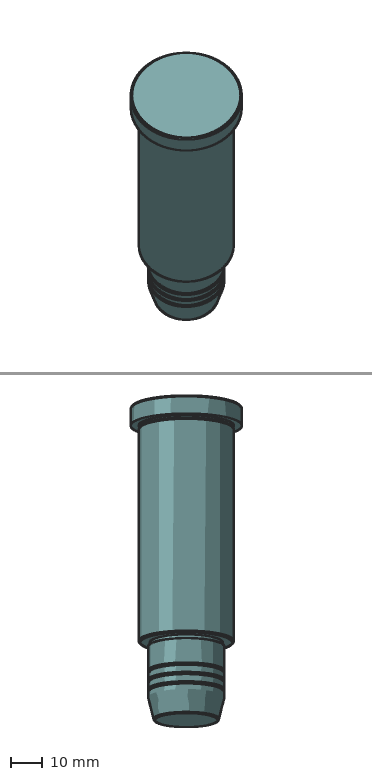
import cadquery as cq

total_length = 101.0
head_radius = 17.52
head_height = 6.0
head_chamfer = 0.5

shank_radius = 15.0
shank_bottom = 25.0
shank_chamfer = 0.5

guide_radius = 12.0
neck_radius = 11.5
neck_height = 1.2

tolerance = 1.01e-06

guide_groove_width = 0.8
head_groove_width = 1.2
groove_depth = 0.5
lowest_groove_height = 9.5
groove_pitch = 3.0
guide_groove_count = 3

taper_top = 7.3
tip_radius = 10.3
tip_chamfer = 0.4

head_bottom = total_length - head_height
neck_bottom = shank_bottom - neck_height


def cylinder(radius, bottom, top):
    """Solid cylinder on the Z axis between two heights."""
    return cq.Workplane("XY").workplane(offset=bottom).circle(radius).extrude(top - bottom)


def revolve_profile(points):
    """Revolve a closed (radius, height) outline about the Z axis."""
    return cq.Workplane("XZ").polyline(points).close().revolve(360, (0, 0, 0), (0, 1, 0))


def make_tip():
    """Conical tip with its chamfered end."""
    return revolve_profile([
        (0, 0),
        (tip_radius - tip_chamfer, 0),
        (tip_radius, tip_chamfer),
        (guide_radius, taper_top),
        (0, taper_top),
    ])


def grooved_cylinder(radius, bottom, top, groove_heights, groove_width):
    """Cylinder with a V groove centred on each given height, in ascending order."""
    points = [(0, bottom), (radius, bottom)]
    for height in groove_heights:
        points.append((radius, height - groove_width / 2))
        points.append((radius - groove_depth, height))
        points.append((radius, height + groove_width / 2))
    groove_meets_top = abs(points[-1][1] - top) < tolerance
    if not groove_meets_top:
        points.append((radius, top))
    points.append((0, top))
    return revolve_profile(points)


guide_groove_heights = [lowest_groove_height + i * groove_pitch for i in range(guide_groove_count)]
guide = grooved_cylinder(guide_radius, taper_top, neck_bottom, guide_groove_heights, guide_groove_width)
neck = cylinder(neck_radius, neck_bottom, shank_bottom)

head_groove_height = head_bottom - head_groove_width / 2
shank = grooved_cylinder(shank_radius, shank_bottom, head_bottom, [head_groove_height], head_groove_width)
shank = shank.faces("<Z").edges().chamfer(shank_chamfer)
head = cylinder(head_radius, head_bottom, total_length).faces(">Z").edges().chamfer(head_chamfer)

result = make_tip().union(guide).union(neck).union(shank).union(head)